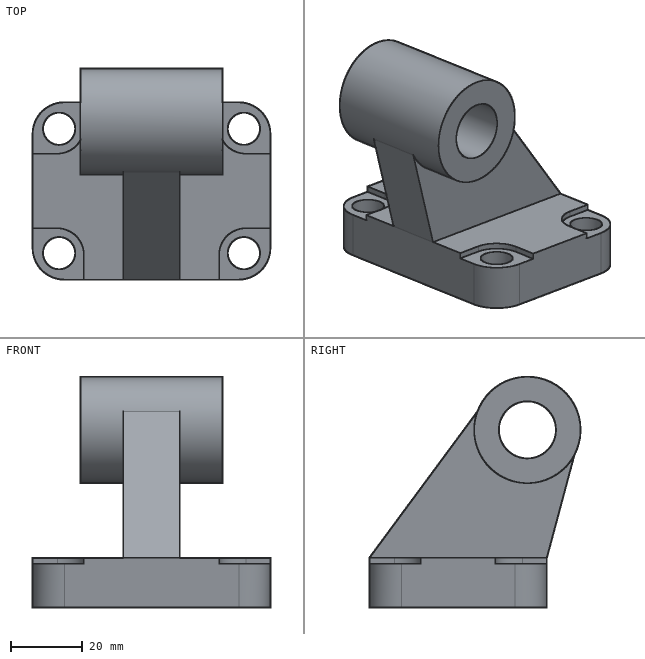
import cadquery as cq
import math

base_length = 67.0
base_width = 50.0
base_height = 14.0
corner_radius = 9.0

hole_diameter = 9.0
hole_pitch_x = 52.0
hole_pitch_y = 35.0
recess_size = 14.5
recess_depth = 1.6
recess_radius = 7.5

sleeve_length = 40.0
sleeve_diameter = 30.0
bore_diameter = 16.0
sleeve_y = 19.5
sleeve_z = 50.0

rib_thickness = 16.0
rib_front_rise = 5.2
rib_rear_drop = 7.0


def x_cylinder(diameter, length):
    """Cylinder on the sleeve axis, centred on X = 0."""
    return (
        cq.Workplane("YZ")
        .center(sleeve_y, sleeve_z)
        .circle(diameter / 2)
        .extrude(length / 2, both=True)
    )


def corner_recess(side_x, side_y):
    """Recess for one corner of the base, rounded towards the plate centre."""
    center_x = side_x * (base_length - recess_size) / 2
    center_y = side_y * (base_width - recess_size) / 2
    inner_x = "<X" if side_x > 0 else ">X"
    inner_y = "<Y" if side_y > 0 else ">Y"
    return (
        cq.Workplane("XY", origin=(center_x, center_y, base_height - recess_depth))
        .rect(recess_size, recess_size)
        .extrude(recess_depth)
        .edges(f"|Z and {inner_x} and {inner_y}")
        .fillet(recess_radius)
    )


def make_base():
    base = (
        cq.Workplane("XY")
        .rect(base_length, base_width)
        .extrude(base_height)
        .edges("|Z")
        .fillet(corner_radius)
    )
    for side_x in (-1, 1):
        for side_y in (-1, 1):
            base = base.cut(corner_recess(side_x, side_y))
    holes = (
        cq.Workplane("XY")
        .rect(hole_pitch_x, hole_pitch_y, forConstruction=True)
        .vertices()
        .circle(hole_diameter / 2)
        .extrude(base_height)
    )
    return base.cut(holes)


def make_rib():
    """Sloping web as wide as the base at its foot, ending inside the sleeve."""
    sleeve_radius = sleeve_diameter / 2
    front_reach = math.sqrt(sleeve_radius**2 - rib_front_rise**2)
    rear_reach = math.sqrt(sleeve_radius**2 - rib_rear_drop**2)
    outline = [
        (-base_width / 2, base_height),
        (base_width / 2, base_height),
        (sleeve_y + rear_reach, sleeve_z - rib_rear_drop),
        (sleeve_y - front_reach, sleeve_z + rib_front_rise),
    ]
    return cq.Workplane("YZ").polyline(outline).close().extrude(rib_thickness / 2, both=True)


sleeve = x_cylinder(sleeve_diameter, sleeve_length)
bore = x_cylinder(bore_diameter, sleeve_length)
result = make_base().union(make_rib()).union(sleeve).cut(bore)